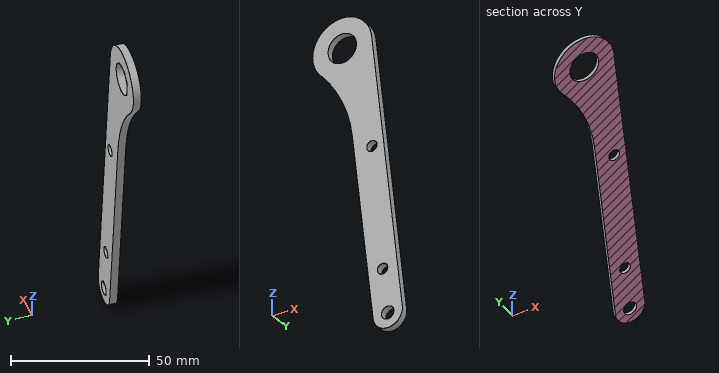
import cadquery as cq
import math

thickness = 3.1
overall_width = 38.5
overall_height = 135.2
tip_radius = 6.4
head_radius = 2 * tip_radius
neck_radius = 4 * head_radius

head_bore_diameter = 12.0
tip_hole_diameter = 5.3
shank_hole_diameter = 4.3
shank_holes = [(-2.2, 18.9), (-6.8, 71.5)]

head_x = -(overall_width - head_radius - tip_radius)
head_z = overall_height - head_radius - tip_radius

centre_distance = math.hypot(head_x, head_z)
lean = math.atan2(-head_x, head_z) - math.asin((head_radius - tip_radius) / centre_distance)
along = (-math.sin(lean), math.cos(lean))
across = (math.cos(lean), math.sin(lean))


def offset(point, up, right):
    """Move a point along the shank edges and square to them."""
    return (
        point[0] + up * along[0] + right * across[0],
        point[1] + up * along[1] + right * across[1],
    )


def circle_point(centre, radius, direction):
    """Point on a circle in the given (not necessarily unit) direction."""
    length = math.hypot(*direction)
    return (centre[0] + radius * direction[0] / length, centre[1] + radius * direction[1] / length)


def make_plate():
    tip = (0.0, 0.0)
    head = (head_x, head_z)
    tip_right = offset(tip, 0, tip_radius)
    tip_left = offset(tip, 0, -tip_radius)
    tip_bottom = offset(tip, -tip_radius, 0)
    head_right = offset(head, 0, head_radius)
    head_top = offset(head, head_radius, 0)

    neck_drop = math.sqrt((neck_radius + head_radius) ** 2 - neck_radius ** 2)
    neck_start = offset(head, -neck_drop, 0)
    neck_centre = offset(neck_start, 0, -neck_radius)
    to_neck = (neck_centre[0] - head[0], neck_centre[1] - head[1])
    neck_end = circle_point(head, head_radius, to_neck)
    chord_middle = ((neck_start[0] + neck_end[0]) / 2, (neck_start[1] + neck_end[1]) / 2)
    bulge = (chord_middle[0] - neck_centre[0], chord_middle[1] - neck_centre[1])
    neck_middle = circle_point(neck_centre, neck_radius, bulge)

    return (
        cq.Workplane("XZ")
        .moveTo(*tip_right)
        .lineTo(*head_right)
        .threePointArc(head_top, neck_end)
        .threePointArc(neck_middle, neck_start)
        .lineTo(*tip_left)
        .threePointArc(tip_bottom, tip_right)
        .close()
        .extrude(thickness)
    )


def make_holes(centres, diameter):
    return cq.Workplane("XZ").pushPoints(centres).circle(diameter / 2).extrude(thickness)


result = (
    make_plate()
    .cut(make_holes([(head_x, head_z)], head_bore_diameter))
    .cut(make_holes([(0, 0)], tip_hole_diameter))
    .cut(make_holes(shank_holes, shank_hole_diameter))
)